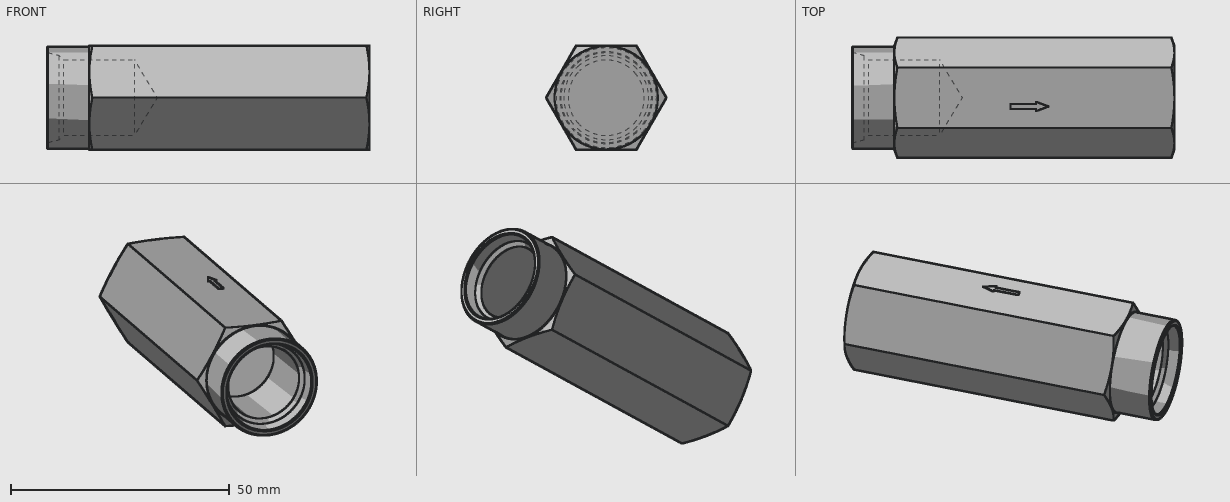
import cadquery as cq
import math

LENGTH = 73.66
ACROSS_FLATS = 23.825
ACROSS_CORNERS = ACROSS_FLATS / math.cos(math.radians(30))

COLLAR_DIAMETER = 23.37
COLLAR_LENGTH = 9.65
COLLAR_CHAMFER = 0.25

CORNER_CHAMFER_ANGLE = 20
CORNER_CHAMFER_START_DIAMETER = 23.6
ENVELOPE_CLEARANCE = 1.0

RIM_DIAMETER = 21.1
MOUTH_DIAMETER = 20.6
MOUTH_END_DIAMETER = 19.3
RIM_CHAMFER_LENGTH = 0.25
SHOULDER_START = 2.75
SHOULDER_END = 3.75
BORE_DIAMETER = 17.32
BORE_DEPTH = 20.0
DRILL_POINT_ANGLE = 118

ARROW_TAIL_X = 36.2
ARROW_Y = -2.0
ARROW_LENGTH = 8.7
ARROW_SHAFT_LENGTH = 5.8
ARROW_SHAFT_WIDTH = 1.15
ARROW_HEAD_WIDTH = 2.15
ARROW_DEPTH = 0.1


def revolve_about_x(points):
    """Revolve a closed (x, radius) outline a full turn about the X axis."""
    return cq.Workplane("XY").polyline(points).close().revolve(360, (0, 0, 0), (1, 0, 0))


def hexagon_body():
    """Hexagonal bar with flats facing +Z and -Z and chamfered corners at both ends."""
    hexagon_length = LENGTH - COLLAR_LENGTH
    bar = (
        cq.Workplane("YZ", origin=(COLLAR_LENGTH, 0, 0))
        .polygon(6, ACROSS_CORNERS)
        .extrude(hexagon_length)
    )
    start_radius = CORNER_CHAMFER_START_DIAMETER / 2
    envelope_radius = ACROSS_CORNERS / 2 + ENVELOPE_CLEARANCE
    chamfer_length = (envelope_radius - start_radius) * math.tan(math.radians(CORNER_CHAMFER_ANGLE))
    envelope = revolve_about_x([
        (COLLAR_LENGTH, 0),
        (COLLAR_LENGTH, start_radius),
        (COLLAR_LENGTH + chamfer_length, envelope_radius),
        (LENGTH - chamfer_length, envelope_radius),
        (LENGTH, start_radius),
        (LENGTH, 0),
    ])
    return bar.intersect(envelope)


def collar():
    """Round collar at the -X end with a chamfered outer rim."""
    return (
        cq.Workplane("YZ")
        .circle(COLLAR_DIAMETER / 2)
        .extrude(COLLAR_LENGTH)
        .faces("<X")
        .chamfer(COLLAR_CHAMFER)
    )


def port():
    """Cutter for the blind port with its tapered mouth, conical shoulder and drill-point bottom."""
    bore_radius = BORE_DIAMETER / 2
    point_length = bore_radius / math.tan(math.radians(DRILL_POINT_ANGLE / 2))
    return revolve_about_x([
        (0, 0),
        (0, RIM_DIAMETER / 2),
        (RIM_CHAMFER_LENGTH, MOUTH_DIAMETER / 2),
        (SHOULDER_START, MOUTH_END_DIAMETER / 2),
        (SHOULDER_END, bore_radius),
        (BORE_DEPTH, bore_radius),
        (BORE_DEPTH + point_length, 0),
    ])


def flow_arrow():
    """Cutter for the flow arrow, sunk into the top flat of the hexagon."""
    half_shaft = ARROW_SHAFT_WIDTH / 2
    half_head = ARROW_HEAD_WIDTH / 2
    return (
        cq.Workplane("XY", origin=(ARROW_TAIL_X, ARROW_Y, ACROSS_FLATS / 2))
        .polyline([
            (0, -half_shaft),
            (ARROW_SHAFT_LENGTH, -half_shaft),
            (ARROW_SHAFT_LENGTH, -half_head),
            (ARROW_LENGTH, 0),
            (ARROW_SHAFT_LENGTH, half_head),
            (ARROW_SHAFT_LENGTH, half_shaft),
            (0, half_shaft),
        ])
        .close()
        .extrude(-ARROW_DEPTH)
    )


result = hexagon_body().union(collar()).cut(port()).cut(flow_arrow())